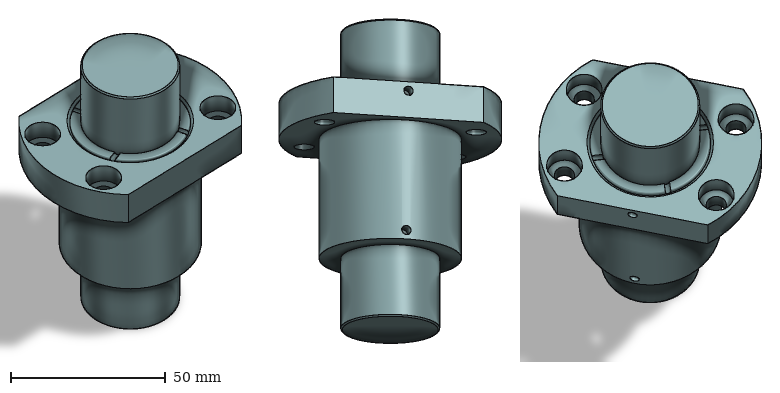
import cadquery as cq
import math

shaft_diameter = 32
shaft_length = 100
shaft_chamfer = 0.5

nut_diameter = 46
nut_length = 52
flange_diameter = 72
flange_width = 52
flange_thickness = 12
nut_bottom = (shaft_length - nut_length) / 2
flange_top = nut_bottom + nut_length
flange_bottom = flange_top - flange_thickness

bolt_circle_diameter = 58
bolt_angles = (60, 120, 240, 300)
bolt_hole_diameter = 6.5
counterbore_diameter = 11.5
counterbore_depth = 6.5

oil_hole_diameter = 3
oil_hole_depth = 5
oil_hole_inset = 3

groove_outer_diameter = 40.8
groove_root_diameter = 39
ring_edge_radius = 0.8
slot_count = 4
slot_diameter = 1.8
slot_angle = 20
slot_offset = 3.4


def make_shaft():
    shaft = cq.Workplane("XY").circle(shaft_diameter / 2).extrude(shaft_length)
    return shaft.faces("<Z or >Z").chamfer(shaft_chamfer)


def make_nut():
    body = cq.Workplane("XY", origin=(0, 0, nut_bottom)).circle(nut_diameter / 2).extrude(nut_length)
    flange_plane = cq.Workplane("XY", origin=(0, 0, flange_bottom))
    disc = flange_plane.circle(flange_diameter / 2).extrude(flange_thickness)
    flats = flange_plane.rect(flange_width, flange_diameter).extrude(flange_thickness)
    return body.union(disc.intersect(flats))


def drill_mounting_holes(part):
    radius = bolt_circle_diameter / 2
    top = cq.Workplane("XY", origin=(0, 0, flange_top))
    for angle in bolt_angles:
        hole = top.center(radius, 0).circle(bolt_hole_diameter / 2).extrude(-flange_thickness)
        counterbore = top.center(radius, 0).circle(counterbore_diameter / 2).extrude(-counterbore_depth)
        part = part.cut(hole.union(counterbore).rotate((0, 0, 0), (0, 0, 1), angle))
    return part


def drill_oil_hole(part, surface_x, height):
    hole = (
        cq.Workplane("YZ", origin=(surface_x, 0, height))
        .circle(oil_hole_diameter / 2)
        .extrude(oil_hole_depth)
    )
    return part.cut(hole)


def make_rim_groove():
    """Groove with a sloping outer wall and the convex round of the ring rim inside."""
    root_radius = groove_root_diameter / 2
    round_centre_x = root_radius - ring_edge_radius
    round_centre_z = flange_top - ring_edge_radius
    arc_reach = ring_edge_radius * math.cos(math.pi / 4)
    return (
        cq.Workplane("XZ")
        .moveTo(groove_outer_diameter / 2, flange_top)
        .lineTo(root_radius, round_centre_z)
        .threePointArc(
            (round_centre_x + arc_reach, round_centre_z + arc_reach),
            (round_centre_x, flange_top),
        )
        .close()
        .revolve(360, (0, 0, 0), (0, 1, 0))
    )


def make_slots():
    """Round-bottomed slots, offset from the axis and kept inside the ring face."""
    ring_face = (
        cq.Workplane("XY", origin=(0, 0, flange_top - slot_diameter))
        .circle(groove_root_diameter / 2)
        .circle(shaft_diameter / 2)
        .extrude(slot_diameter)
    )
    bar = (
        cq.Workplane("YZ", origin=(0, slot_offset, flange_top))
        .circle(slot_diameter / 2)
        .extrude(groove_outer_diameter / 2)
    )
    slots = cq.Workplane("XY")
    for index in range(slot_count):
        angle = slot_angle + index * 360 / slot_count
        slots = slots.add(bar.rotate((0, 0, 0), (0, 0, 1), angle))
    return slots.combine().intersect(ring_face)


result = drill_mounting_holes(make_nut())
result = drill_oil_hole(result, -flange_width / 2, flange_top - oil_hole_inset)
result = drill_oil_hole(result, -nut_diameter / 2, nut_bottom + oil_hole_inset)
result = result.cut(make_rim_groove()).cut(make_slots())
result = result.union(make_shaft())